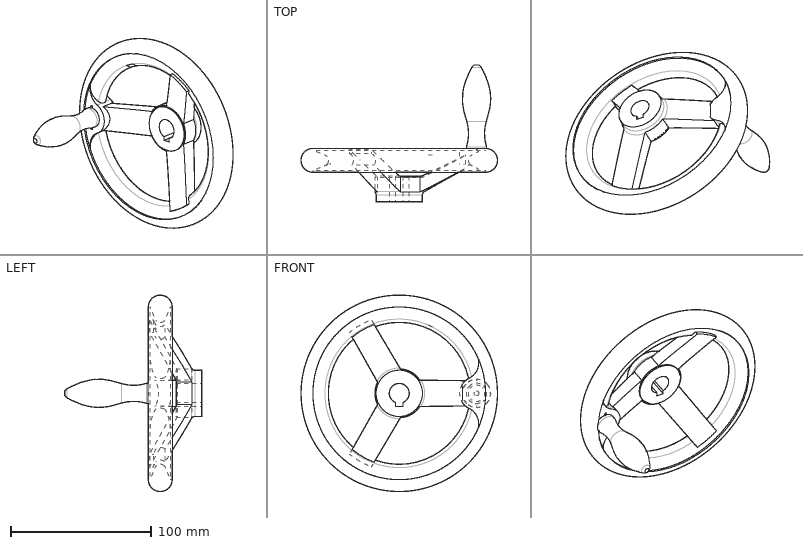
import cadquery as cq
import math


wheel_radius = 70.0
rim_front = 21.0
rim_width = 17.15
rim_middle = rim_front + rim_width / 2
rim_back = rim_front + rim_width
rim_lip_radius = 123.0 / 2
rim_lip_depth = 1.4
rim_inner_radius = 50.4
rim_nose_radius = 4.0

hub_radius = 33.0 / 2
hub_front_length = 4.75
hub_flare_radius = 3.0
hub_web_radius = 17.4
hub_length = 18.5

bore_radius = 7.0
key_width = 5.0
key_depth = 9.3

spoke_count = 3
spoke_root_radius = 10.0
spoke_tip_radius = 56.0
spoke_root_width = 19.0
spoke_tip_width = 18.0
spoke_rake = math.radians(29)
spoke_root_thickness = 10.9
spoke_tip_thickness = 8.9

handle_x = 55.0
handle_seat_radius = 12.0
seat_blend_radius = 12.0
collar_radius = 14.5 / 2
collar_end = 39.2
neck_radius = 5.8
neck_end = 57.1
neck_end_radius = 7.0
grip_start_direction = (0.3, 1)
grip_end_direction = (-0.56, 1)
grip_radius = 10.1
grip_widest = 71.0
grip_end = 95.8
grip_end_radius = 3.4
tip_end = 97.6
tip_radius = 1.7


def turned(profile):
    """Revolve an XY profile about the wheel axis."""
    return profile.close().revolve(360, (0, 0, 0), (0, 1, 0))


def along_y(start, length, sketch):
    """Extrude an XZ outline from Y = start to Y = start + length."""
    plane = cq.Plane(origin=(0, start, 0), xDir=(1, 0, 0), normal=(0, -1, 0))
    return sketch(cq.Workplane(plane)).extrude(-length)


def make_rim():
    """Ring with a round outer side, and conical flanks tapering to a rounded inner nose."""
    nose_x = rim_inner_radius + rim_nose_radius
    flank_depth = rim_width / 2 - rim_lip_depth
    reach = math.hypot(rim_lip_radius - nose_x, flank_depth)
    touch_angle = math.atan2(flank_depth, rim_lip_radius - nose_x) + math.acos(rim_nose_radius / reach)
    touch_x = nose_x + rim_nose_radius * math.cos(touch_angle)
    touch_y = rim_nose_radius * math.sin(touch_angle)
    profile = (
        cq.Workplane("XY")
        .moveTo(rim_lip_radius, rim_front)
        .threePointArc((wheel_radius, rim_middle), (rim_lip_radius, rim_back))
        .lineTo(rim_lip_radius, rim_back - rim_lip_depth)
        .lineTo(touch_x, rim_middle + touch_y)
        .threePointArc((rim_inner_radius, rim_middle), (touch_x, rim_middle - touch_y))
        .lineTo(rim_lip_radius, rim_front + rim_lip_depth)
    )
    return turned(profile)


def make_hub_and_web():
    """Hub with a conical web reaching into the rim, before the web is cut into spokes."""
    half_turn = (math.pi / 2 - spoke_rake) / 2
    flare_x = hub_radius + hub_flare_radius

    def flare_point(turn):
        return (
            flare_x - hub_flare_radius * math.cos(turn),
            hub_front_length + hub_flare_radius * math.sin(turn),
        )

    flare_end = flare_point(2 * half_turn)
    rise = math.tan(spoke_rake)
    tip_front = flare_end[1] + (spoke_tip_radius - flare_end[0]) * rise
    tip_back = tip_front + spoke_tip_thickness
    root_front = flare_end[1] - (flare_end[0] - hub_radius) * rise
    root_back = root_front + spoke_root_thickness
    profile = (
        cq.Workplane("XY")
        .lineTo(hub_radius, 0)
        .lineTo(hub_radius, hub_front_length)
        .threePointArc(flare_point(half_turn), flare_end)
        .lineTo(spoke_tip_radius, tip_front)
        .lineTo(spoke_tip_radius, tip_back)
        .lineTo(hub_radius, root_back)
        .lineTo(hub_radius, hub_length)
        .lineTo(0, hub_length)
    )
    return turned(profile)


def make_spoke_outline():
    """Hub disc with tapered arms: what is kept of the web, as seen along the axis."""
    outline = along_y(0, rim_back, lambda plane: plane.circle(hub_web_radius))
    arm = along_y(
        0,
        rim_back,
        lambda plane: plane.moveTo(spoke_root_radius, -spoke_root_width / 2)
        .lineTo(spoke_tip_radius, -spoke_tip_width / 2)
        .lineTo(spoke_tip_radius, spoke_tip_width / 2)
        .lineTo(spoke_root_radius, spoke_root_width / 2)
        .close(),
    )
    for index in range(spoke_count):
        outline = outline.union(arm.rotate((0, 0, 0), (0, 1, 0), index * 360 / spoke_count))
    return outline


def make_handle_seat():
    """Round boss inside the rim, blended into the lip by concave arcs on both sides."""
    blend_orbit = rim_lip_radius - seat_blend_radius
    blend_reach = handle_seat_radius + seat_blend_radius
    blend_x = (blend_orbit**2 + handle_x**2 - blend_reach**2) / (2 * handle_x)
    blend_z = math.sqrt(blend_orbit**2 - blend_x**2)

    boss_x = handle_x + (blend_x - handle_x) * handle_seat_radius / blend_reach
    boss_z = blend_z * handle_seat_radius / blend_reach
    lip_x = blend_x * rim_lip_radius / blend_orbit
    lip_z = blend_z * rim_lip_radius / blend_orbit
    chord_x = (boss_x + lip_x) / 2 - blend_x
    chord_z = (boss_z + lip_z) / 2 - blend_z
    stretch = seat_blend_radius / math.hypot(chord_x, chord_z)
    mid_x = blend_x + chord_x * stretch
    mid_z = blend_z + chord_z * stretch

    return along_y(
        rim_front + rim_lip_depth,
        rim_width - 2 * rim_lip_depth,
        lambda plane: plane.moveTo(boss_x, -boss_z)
        .threePointArc((handle_x - handle_seat_radius, 0), (boss_x, boss_z))
        .threePointArc((mid_x, mid_z), (lip_x, lip_z))
        .threePointArc((rim_lip_radius, 0), (lip_x, -lip_z))
        .threePointArc((mid_x, -mid_z), (boss_x, -boss_z))
        .close(),
    )


def make_handle():
    neck_mid = (collar_end + neck_end) / 2
    profile = (
        cq.Workplane("XY")
        .moveTo(0, rim_middle)
        .lineTo(collar_radius, rim_middle)
        .lineTo(collar_radius, collar_end)
        .threePointArc((neck_radius, neck_mid), (neck_end_radius, neck_end))
        .spline(
            [(grip_radius, grip_widest), (grip_end_radius, grip_end)],
            tangents=[grip_start_direction, grip_end_direction],
            includeCurrent=True,
        )
        .lineTo(tip_radius, tip_end)
        .lineTo(0, tip_end)
    )
    return turned(profile).translate((handle_x, 0, 0))


def make_bore():
    bore = along_y(0, hub_length, lambda plane: plane.circle(bore_radius))
    keyway = along_y(
        0,
        hub_length,
        lambda plane: plane.center(0, -key_depth / 2).rect(key_width, key_depth),
    )
    return bore.union(keyway)


spider = make_hub_and_web().intersect(make_spoke_outline())
wheel = make_rim().union(make_handle_seat()).union(spider)
result = wheel.union(make_handle()).cut(make_bore())